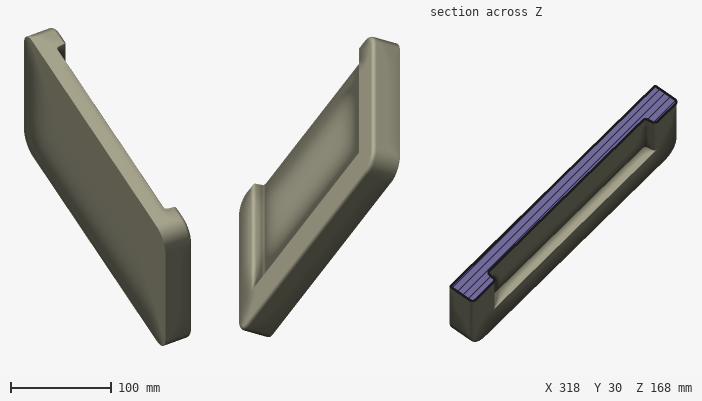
import cadquery as cq
import math

length = 318.0
depth = 30.0
height = 168.0
corner_radius = 19.5
back_fillet = 4.0

recess_width = 247.0
recess_depth = 12.0
recess_side_slope = 8.0
recess_rim_radius = back_fillet
recess_floor_radius = 3.0
recess_lip_fillet = 1.0

back = depth / 2
top = height / 2
side_wall = (length - recess_width) / 2
recess_floor = back - recess_depth
recess_bottom = -top + side_wall
recess_height = top - recess_bottom

inner_half_length = (length - side_wall) / 2
edge_margin = 0.1


def make_envelope():
    """Plate with rounded corners and a filleted outline on its back."""
    plate = cq.Workplane("XZ", origin=(0, -back, 0)).rect(length, height).extrude(-depth)
    plate = plate.edges("|Y").fillet(corner_radius)
    return plate.faces(">Y").edges().fillet(back_fillet)


def make_recess():
    """Trapezoidal prism along Z with rounded floor corners."""
    half_width = recess_width / 2
    floor_half_width = half_width - recess_depth * math.tan(math.radians(recess_side_slope))
    corners = [
        (-half_width, back),
        (-floor_half_width, recess_floor),
        (floor_half_width, recess_floor),
        (half_width, back),
    ]
    base = cq.Workplane("XY", origin=(0, 0, recess_bottom))
    prism = base.polyline(corners).close().extrude(recess_height)
    return prism.edges("|Z and <Y").fillet(recess_floor_radius)


def round_recess_rims(slab):
    """Round the upright edges where the recess sides meet the back."""
    near_rims = cq.selectors.BoxSelector(
        (-inner_half_length, back - edge_margin, recess_bottom),
        (inner_half_length, back + edge_margin, top),
    )
    return slab.edges("|Z").edges(near_rims).fillet(recess_rim_radius)


def round_recess_lip(slab):
    """Round the top edge along the open end of the recess."""
    near_lip = cq.selectors.BoxSelector(
        (-inner_half_length, recess_floor - edge_margin, top - edge_margin),
        (inner_half_length, back - edge_margin, top + edge_margin),
    )
    return slab.faces(">Z").edges(near_lip).fillet(recess_lip_fillet)


recessed_slab = cq.Workplane("XY").box(length, depth, height).cut(make_recess())
recessed_slab = round_recess_rims(recessed_slab)
recessed_slab = round_recess_lip(recessed_slab)

result = make_envelope().intersect(recessed_slab)